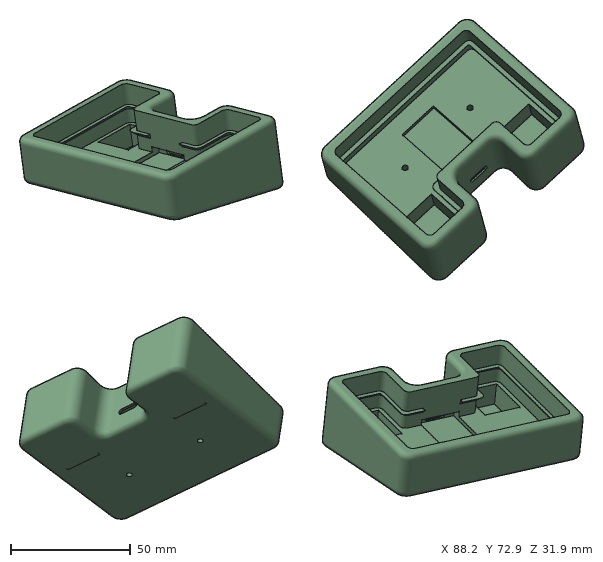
import cadquery as cq


width = 88.2
slope_length = 69.15
tilt_angle = 10.0
front_height = 20.3
blank_depth = 39.7
corner_radius = 5.0
edge_radius = 2.5

notch_width = 26.0
notch_depth = 19.05
notch_floor_y = slope_length - notch_depth

wall = 5.0
cavity_corner_radius = 2.5
floor_depth = 17.8
lip_depth = 9.5
lip_width = 2.0
lip_bottom_depth = lip_depth + lip_width
lip_corner_radius = 0.4

pocket_length = 20.0
pocket_depth = 10.0

recess_width = 18.2
recess_front_y = 13.05
recess_depth = 1.85
recess_headroom = 2.5
recess_end_wall = 1.0

slot_width = 9.5
slot_height = 3.0
hole_diameter = 2.5
hole_spacing = 38.0
hole_y = 27.8

corner_tolerance = 0.01


def u_outline(inset, radius, notch_radius):
    """Closed U-shaped outline inset from the outer walls; the notch floor corners have their own radius."""
    half_width = width / 2 - inset
    half_notch = notch_width / 2 + inset
    rear = slope_length - inset
    notch_floor = notch_floor_y - inset
    points = [
        (-half_width, inset),
        (half_width, inset),
        (half_width, rear),
        (half_notch, rear),
        (half_notch, notch_floor),
        (-half_notch, notch_floor),
        (-half_notch, rear),
        (-half_width, rear),
    ]
    outline = cq.Wire.makePolygon([cq.Vector(*point) for point in points], close=True)
    notch_corners = [
        corner
        for corner in outline.Vertices()
        if abs(corner.Y - notch_floor) < corner_tolerance
    ]
    outline = outline.fillet2D(notch_radius, notch_corners)
    other_corners = [
        corner
        for corner in outline.Vertices()
        if min(abs(corner.Y - inset), abs(corner.Y - rear)) < corner_tolerance
    ]
    return outline.fillet2D(radius, other_corners)


def u_block(outline, bottom_depth, top_depth):
    """Upright solid on the outline between two depths below the rim."""
    block = cq.Workplane("XY").add(outline).toPending().extrude(bottom_depth - top_depth)
    return block.translate((0, 0, -bottom_depth))


def box_between(corner, opposite_corner):
    """Box spanning two opposite corners."""
    sizes = [high - low for low, high in zip(corner, opposite_corner)]
    return cq.Workplane("XY").box(*sizes, centered=False).translate(corner)


def to_world(tilted):
    """Lean a tilted-frame solid back about X and lift it to its height above the base."""
    return tilted.rotate((0, 0, 0), (1, 0, 0), tilt_angle).translate((0, 0, front_height))


def make_body():
    """Solid outer body with rounded rim and base edges."""
    blank = u_block(u_outline(0, corner_radius, corner_radius), blank_depth, 0)
    blank = to_world(blank.faces(">Z").edges().fillet(edge_radius))
    above_base = cq.Workplane("XY").box(2 * width, 2 * width, width, centered=(True, True, False))
    return blank.intersect(above_base).faces("<Z").edges().fillet(edge_radius)


def make_cavity():
    """Cavity that narrows to the lip edge, with the lip left out across the recess width."""
    outline = u_outline(wall, cavity_corner_radius, cavity_corner_radius)
    lip_edge = u_outline(wall + lip_width, lip_corner_radius, cavity_corner_radius)
    above_lip = u_block(outline, lip_depth, 0)
    lip_bottom = outline.translate(cq.Vector(0, 0, -lip_bottom_depth))
    lip_top = lip_edge.translate(cq.Vector(0, 0, -lip_depth))
    inside_lip = cq.Workplane(cq.Solid.makeLoft([lip_bottom, lip_top], ruled=True))
    below_lip = u_block(outline, floor_depth, lip_bottom_depth)
    rear_y = notch_floor_y - wall
    lip_gap = box_between(
        (-recess_width / 2, rear_y - 2 * lip_width, -lip_bottom_depth),
        (recess_width / 2, rear_y, -lip_depth),
    )
    return above_lip.union(inside_lip).union(below_lip).union(lip_gap)


def make_pockets():
    """Deep pockets in the floor of both rear arms."""
    outer_x = width / 2 - wall - lip_width
    inner_x = notch_width / 2 + wall + lip_width
    rear_y = slope_length - wall - lip_width
    pocket = box_between(
        (inner_x, rear_y - pocket_length, -floor_depth - pocket_depth),
        (outer_x, rear_y, -floor_depth),
    )
    return pocket.union(pocket.mirror("YZ"))


def make_recess():
    """Floor recess, and the slot from its rear end into the notch."""
    recess_rear_y = notch_floor_y - recess_end_wall
    recess = box_between(
        (-recess_width / 2, recess_front_y, -floor_depth - recess_depth),
        (recess_width / 2, recess_rear_y, -floor_depth + recess_headroom),
    )
    slot = (
        cq.Workplane("XZ", origin=(0, recess_rear_y, -floor_depth))
        .slot2D(slot_width, slot_height)
        .extrude(-2 * recess_end_wall)
    )
    return recess.union(slot)


def make_holes():
    """Pair of upright holes through the floor."""
    return (
        cq.Workplane("XY")
        .pushPoints([(-hole_spacing / 2, hole_y), (hole_spacing / 2, hole_y)])
        .circle(hole_diameter / 2)
        .extrude(front_height)
    )


result = make_body()
for cutter in (make_cavity(), make_pockets(), make_recess()):
    result = result.cut(to_world(cutter))
result = result.cut(make_holes())